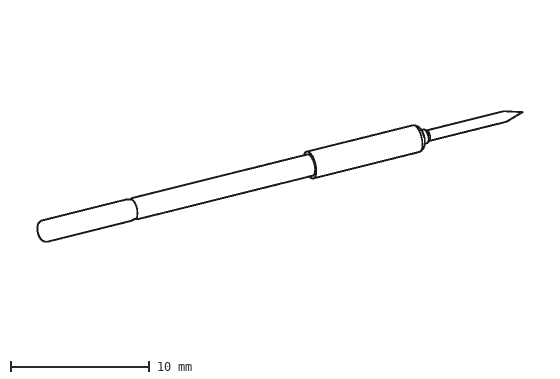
import cadquery as cq

TOTAL_LENGTH = 39.3

PIN_RADIUS = 0.4
COLLAR_RADIUS = 0.52
NECK_RADIUS = 0.48
NOSE_BULGE_RADIUS = 0.84
BARREL_RADIUS = 1.0
TAIL_RADIUS = 0.8
GROOVE_RADIUS = TAIL_RADIUS - 0.07
REAR_ROUND = 0.38

POINT_END = 1.45
PIN_END = 7.75
COLLAR_RIDGE = 7.95
NECK_END = 8.3
NOSE_BULGE = 8.43
NOSE_END = 8.7
BARREL_END = 17.35
GROOVE_START = 31.55
GROOVE_FLOOR = 31.78
GROOVE_END = 32.15


def at(radius, from_tip):
    """Point of the half profile: distance along the axis, then radius."""
    return (TOTAL_LENGTH - from_tip, radius)


def turned_profile():
    """Closed half outline in the YZ plane, from the tip back to the rear face."""
    outline = cq.Workplane("YZ").moveTo(*at(0, 0))

    outline = outline.lineTo(*at(PIN_RADIUS, POINT_END))
    outline = outline.lineTo(*at(PIN_RADIUS, PIN_END))

    outline = outline.lineTo(*at(COLLAR_RADIUS, COLLAR_RIDGE))
    outline = outline.lineTo(*at(NECK_RADIUS, NECK_END))

    outline = outline.threePointArc(at(NOSE_BULGE_RADIUS, NOSE_BULGE), at(BARREL_RADIUS, NOSE_END))
    outline = outline.lineTo(*at(BARREL_RADIUS, BARREL_END))

    outline = outline.lineTo(*at(TAIL_RADIUS, BARREL_END))
    outline = outline.lineTo(*at(TAIL_RADIUS, GROOVE_START))
    outline = outline.lineTo(*at(GROOVE_RADIUS, GROOVE_FLOOR))
    outline = outline.lineTo(*at(TAIL_RADIUS, GROOVE_END))

    outline = outline.lineTo(*at(TAIL_RADIUS, TOTAL_LENGTH - REAR_ROUND))
    outline = outline.radiusArc(at(TAIL_RADIUS - REAR_ROUND, TOTAL_LENGTH), -REAR_ROUND)
    outline = outline.lineTo(*at(0, TOTAL_LENGTH))
    return outline.close()


result = turned_profile().revolve(360, (0, 0, 0), (1, 0, 0))